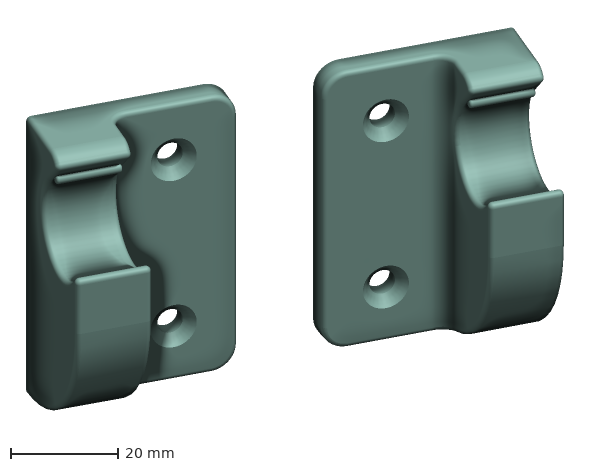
import cadquery as cq
import math

overall_width = 97.0
height = 60.0
depth = 27.45

bracket_width = 40.1
arm_width = 15.0
plate_thickness = 5.0
inside_radius = 3.0
plate_corner_radius = 5.0
edge_radius = 1.0

belly_top = 28.0
brow_start = 12.8
brow_radius = 4.3
cradle_radius = 9.7
cradle_x = 18.1
cradle_z = 45.3

rib_radius = 1.0
rib_end_radius = 0.5
rib_x = 13.2
rib_z = 53.5

hole_diameter = 5.0
countersink_depth = 2.0
hole_from_plate_end = 12.6
hole_heights = (12.0, 48.0)

outer_y = overall_width / 2
inner_y = outer_y - bracket_width
arm_y = outer_y - arm_width
arm_middle_y = outer_y - arm_width / 2

half_diagonal = cradle_radius * math.sqrt(0.5)
slot_upper = (cradle_x - half_diagonal, cradle_z + half_diagonal)
slot_lower = (cradle_x + half_diagonal, cradle_z - half_diagonal)
slot_bottom = (cradle_x - half_diagonal, cradle_z - half_diagonal)
nose_tip = (depth, slot_lower[1] + depth - slot_lower[0])

brow_turn = math.radians(45)
brow_end = (
    brow_start + brow_radius * math.sin(brow_turn),
    height - brow_radius * (1 - math.cos(brow_turn)),
)
brow_sum = brow_end[0] + brow_end[1]
wall_difference = slot_upper[1] - slot_upper[0]
brow_tip = ((brow_sum - wall_difference) / 2, (brow_sum + wall_difference) / 2)


def nearest(x, y, z):
    return cq.selectors.NearestToPointSelector((x, y, z))


def plan_solid():
    """L-shaped plan extruded over the full height."""
    return (
        cq.Workplane("XY")
        .moveTo(0, inner_y)
        .lineTo(plate_thickness, inner_y)
        .lineTo(plate_thickness, arm_y - inside_radius)
        .radiusArc((plate_thickness + inside_radius, arm_y), inside_radius)
        .lineTo(depth, arm_y)
        .lineTo(depth, outer_y)
        .lineTo(0, outer_y)
        .close()
        .extrude(height)
    )


def profile_solid():
    """Side profile with the cradle slot, extruded across the bracket, its two tips rounded."""
    belly_radius = belly_top
    belly_center_x = depth - belly_radius
    foot_z = belly_top - math.sqrt(belly_radius**2 - belly_center_x**2)
    profile = (
        cq.Workplane("XZ", origin=(0, outer_y, 0))
        .moveTo(0, height)
        .lineTo(brow_start, height)
        .radiusArc(brow_end, brow_radius)
        .lineTo(*brow_tip)
        .lineTo(*slot_upper)
        .threePointArc(slot_bottom, slot_lower)
        .lineTo(*nose_tip)
        .lineTo(depth, belly_top)
        .radiusArc((0, foot_z), belly_radius)
        .close()
        .extrude(bracket_width)
    )
    middle_y = outer_y - bracket_width / 2
    for x, z in (brow_tip, nose_tip):
        profile = profile.edges(nearest(x, middle_y, z)).fillet(edge_radius)
    return profile


def snap_rib():
    """Round-ended bar along Y, sunk partly into the upper slot wall between the rounded rims."""
    length = arm_width - 2 * edge_radius
    return (
        cq.Workplane("XZ", origin=(rib_x, arm_middle_y + length / 2, rib_z))
        .circle(rib_radius)
        .extrude(length)
        .faces("<Y or >Y")
        .edges()
        .fillet(rib_end_radius)
    )


def screw_holes():
    """Through holes that widen to a cone at the front of the plate."""
    radius = hole_diameter / 2
    cone_start = plate_thickness - countersink_depth
    cutter = (
        cq.Workplane("XY")
        .lineTo(0, radius)
        .lineTo(cone_start, radius)
        .lineTo(plate_thickness, radius + countersink_depth)
        .lineTo(plate_thickness, 0)
        .close()
        .revolve(360, (0, 0), (1, 0))
    )
    holes = cq.Workplane("XY")
    for z in hole_heights:
        holes = holes.add(cutter.translate((0, inner_y + hole_from_plate_end, z)))
    return holes.combine()


def make_bracket():
    """Bracket on the +Y side, with its arm at the outer end."""
    bracket = plan_solid().intersect(profile_solid())
    for z in (0, height):
        plate_corner = nearest(plate_thickness / 2, inner_y, z)
        bracket = bracket.edges(plate_corner).fillet(plate_corner_radius)

    bracket = bracket.faces(">Y").edges("not(<X)").fillet(edge_radius)
    plate_top_y = (inner_y + arm_y) / 2
    bracket = bracket.edges(nearest(plate_thickness, plate_top_y, height)).fillet(edge_radius)

    return bracket.union(snap_rib()).cut(screw_holes())


bracket = make_bracket()
mirrored_bracket = bracket.mirror("XZ")

result = cq.Compound.makeCompound([*bracket.solids().vals(), *mirrored_bracket.solids().vals()])